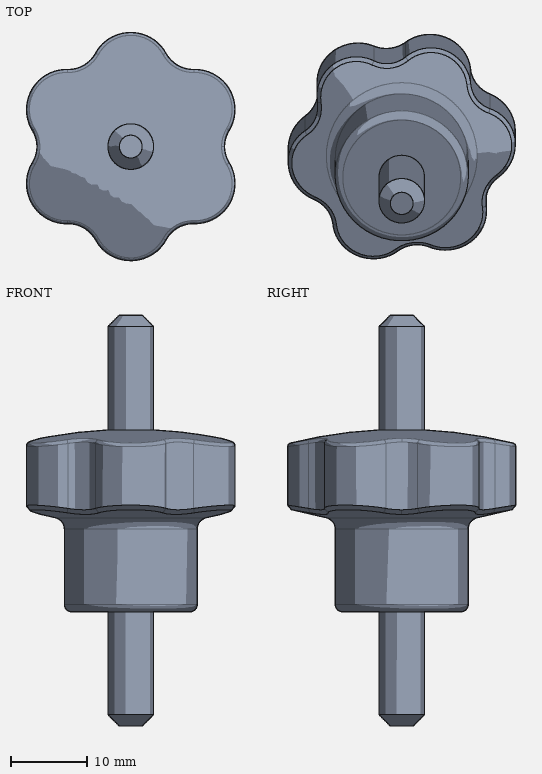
import cadquery as cq
import math

rod_diameter = 6.0
rod_projection = 15.0
rod_tip_chamfer = 1.5

knob_height = 24.0
dome_radius = 60.0
hub_diameter = 17.5
hub_height = 10.9
hub_bottom_fillet = 1.0
neck_fillet = 1.5
underside_angle = math.radians(13.0)
top_edge_fillet = 0.5
bottom_edge_chamfer = 0.5

lobe_count = 6
star_radius = 15.0
lobe_radius = 5.3
valley_radius = 4.0

hub_radius = hub_diameter / 2
lobe_center_distance = star_radius - lobe_radius
lobe_pitch = 2 * math.pi / lobe_count
first_lobe_angle = math.pi / 2

blank_radius = star_radius + 2.0


def polar(radius, angle):
    return (radius * math.cos(angle), radius * math.sin(angle))


def star_wire():
    """Closed star outline of tangent lobe and valley arcs."""
    half_pitch = lobe_pitch / 2
    center_gap = lobe_radius + valley_radius
    valley_center_distance = lobe_center_distance * math.cos(half_pitch) + math.sqrt(
        center_gap**2 - (lobe_center_distance * math.sin(half_pitch)) ** 2
    )
    valley_floor = valley_center_distance - valley_radius

    share = lobe_radius / center_gap
    valley_x, valley_y = polar(valley_center_distance, half_pitch)
    tangent_x = lobe_center_distance + share * (valley_x - lobe_center_distance)
    tangent_y = share * valley_y
    tangent_radius = math.hypot(tangent_x, tangent_y)
    tangent_angle = math.atan2(tangent_y, tangent_x)

    outline = cq.Workplane("XY").moveTo(*polar(tangent_radius, first_lobe_angle - tangent_angle))
    for index in range(lobe_count):
        lobe_angle = first_lobe_angle + index * lobe_pitch
        outline = outline.threePointArc(
            polar(star_radius, lobe_angle),
            polar(tangent_radius, lobe_angle + tangent_angle),
        )
        outline = outline.threePointArc(
            polar(valley_floor, lobe_angle + half_pitch),
            polar(tangent_radius, lobe_angle + lobe_pitch - tangent_angle),
        )
    return outline.close()


def head_blank():
    """Round stock between the conical underside and the domed top."""
    neck_center_radius = hub_radius + neck_fillet
    cone_start_radius = neck_center_radius - neck_fillet * math.sin(underside_angle)
    cone_start_height = hub_height + neck_fillet * math.cos(underside_angle)
    slope = math.tan(underside_angle)
    cone_axis_height = cone_start_height - cone_start_radius * slope
    cone_rim_height = cone_axis_height + blank_radius * slope

    def dome_height(radius):
        return knob_height - dome_radius + math.sqrt(dome_radius**2 - radius**2)

    profile = (
        cq.Workplane("XZ")
        .moveTo(0, cone_axis_height)
        .lineTo(blank_radius, cone_rim_height)
        .lineTo(blank_radius, dome_height(blank_radius))
        .threePointArc((blank_radius / 2, dome_height(blank_radius / 2)), (0, knob_height))
        .close()
    )
    return profile.revolve(360, (0, 0, 0), (0, 1, 0))


def star_head():
    """Star-shaped grip with a rounded top edge and a chamfered lower edge."""
    head = head_blank().intersect(star_wire().extrude(knob_height))
    head = head.faces(">Z").edges().fillet(top_edge_fillet)
    return head.faces("<Z").edges().chamfer(bottom_edge_chamfer)


def hub():
    """Round hub with a rounded foot and a flared neck that meets the conical underside."""
    neck_center = (hub_radius + neck_fillet, hub_height)
    flare_end_angle = math.pi / 2 + underside_angle
    flare_mid_angle = (math.pi + flare_end_angle) / 2

    def on_flare(angle):
        dx, dz = polar(neck_fillet, angle)
        return (neck_center[0] + dx, neck_center[1] + dz)

    cone_start = on_flare(flare_end_angle)
    core_top = (0, cone_start[1])
    foot_mid = polar(hub_bottom_fillet, -math.pi / 4)
    profile = (
        cq.Workplane("XZ")
        .lineTo(hub_radius - hub_bottom_fillet, 0)
        .threePointArc(
            (hub_radius - hub_bottom_fillet + foot_mid[0], hub_bottom_fillet + foot_mid[1]),
            (hub_radius, hub_bottom_fillet),
        )
        .lineTo(hub_radius, hub_height)
        .threePointArc(on_flare(flare_mid_angle), cone_start)
        .lineTo(*core_top)
        .close()
    )
    return profile.revolve(360, (0, 0, 0), (0, 1, 0))


def make_knob():
    bore = cq.Workplane("XY").circle(rod_diameter / 2).extrude(knob_height)
    return star_head().union(hub()).cut(bore)


def make_rod():
    return (
        cq.Workplane("XY")
        .workplane(offset=-rod_projection)
        .circle(rod_diameter / 2)
        .extrude(knob_height + 2 * rod_projection)
        .faces("<Z or >Z")
        .chamfer(rod_tip_chamfer)
    )


knob = make_knob()
rod = make_rod()

result = cq.Compound.makeCompound([knob.val(), rod.val()])